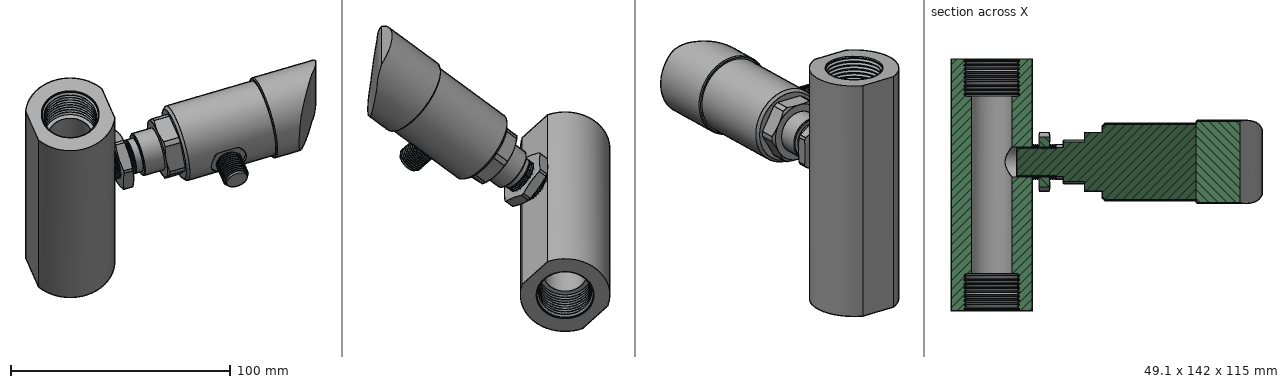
import cadquery as cq
import math


overall_width = 49.1
overall_length = 142.0

pipe_length = 115.0
pipe_diameter = 40.9
pipe_across_flats = 37.0
pipe_bore = 20.0
port_major = 26.4
port_minor = 24.1
port_pitch = 1.8
port_depth = 17.0
port_chamfer = (port_major - port_minor) / 2

sensor_height = 10.5
tip_station = 11.4
thread_end_station = 29.4
collar_station = 32.5
hex_station = 42.3
housing_station = 50.4
cap_station = 93.3
top_station = overall_length - pipe_across_flats / 2

stem_major = 15.9
stem_minor = 14.8
fine_pitch = 1.0
collar_diameter = 20.0
collar_chamfer = 0.4
housing_diameter = 35.5
housing_chamfer = 1.3
hex_across_flats = 27.0
hex_corner_diameter = 29.8
hex_bevel = 0.7

nut_station = 21.5
nut_thickness = 5.1
nut_across_flats = 24.0
nut_corner_diameter = 27.0
nut_bevel = 0.4

crest_start = 0.4
crest_end = 0.6

cap_diameter = 38.0
cap_rim_diameter = 37.0
crest_x = -11.9
slope_start_x = -3.1
slope_start_drop = 5.1
crest_arc_x = -7.2
crest_arc_drop = 2.1
slope_end_x = 13.6
slope_end_drop = 16.3
cap_edge_drop = 19.3

plug_station = 70.6
plug_seat_x = 16.3
plug_seat_diameter = 17.0
plug_major = 12.0
plug_minor = 11.0
plug_end_diameter = 10.1
plug_relief = 0.7
plug_thread_end_x = 27.5
plug_tip_x = overall_width - pipe_diameter / 2


def thread_outline(start, end, major, minor, pitch):
    """Radius-height points of ring-shaped thread teeth between two heights."""
    count = math.floor((end - start) / pitch)
    step = (end - start) / count
    points = []
    for i in range(count):
        root = start + i * step
        points.append((minor / 2, root))
        points.append((major / 2, root + crest_start * step))
        points.append((major / 2, root + crest_end * step))
    points.append((minor / 2, end))
    return points


def turned(outline):
    """Solid of revolution about Z; the outline is closed along the axis."""
    bottom = outline[0][1]
    top = outline[-1][1]
    points = [(0, bottom)] + outline + [(0, top)]
    return cq.Workplane("XZ").polyline(points).close().revolve(360, (0, 0), (0, 1))


def hexagon(across_flats, thickness, first_corner):
    """Hexagonal prism standing on Z = 0, its first corner at the given angle."""
    corner_diameter = across_flats / math.cos(math.pi / 6)
    return (
        cq.Workplane("XY")
        .polygon(6, corner_diameter)
        .extrude(thickness)
        .rotate((0, 0, 0), (0, 0, 1), first_corner)
    )


def along_sensor(shape):
    """Lay a shape built about Z onto the sensor axis, its height becoming Y."""
    return shape.rotate((0, 0, 0), (1, 0, 0), -90).translate((0, 0, sensor_height))


def along_plug(shape):
    """Lay a shape built about Z onto the connector axis, its height becoming X."""
    return shape.rotate((0, 0, 0), (0, 1, 0), 90).translate((0, plug_station, sensor_height))


def make_pipe():
    body = cq.Workplane("XY").circle(pipe_diameter / 2).extrude(pipe_length / 2, both=True)
    flats = cq.Workplane("XY").box(pipe_diameter, pipe_across_flats, pipe_length)
    body = body.intersect(flats)
    body = body.cut(cq.Workplane("XY").circle(pipe_bore / 2).extrude(pipe_length / 2, both=True))

    for end in (-1, 1):
        outer = end * pipe_length / 2
        inner = outer - end * port_depth
        low, high = sorted((outer, inner))
        body = body.cut(turned(thread_outline(low, high, port_major, port_minor, port_pitch)))
        mouth = turned([(port_major / 2, 0), (port_minor / 2, port_chamfer)])
        if end > 0:
            mouth = mouth.rotate((0, 0, 0), (1, 0, 0), 180)
        body = body.cut(mouth.translate((0, 0, outer)))

    stem_hole = cq.Workplane("XY").circle(stem_major / 2).extrude(pipe_across_flats)
    return body.cut(along_sensor(stem_hole))


def make_nut():
    half_flat = nut_across_flats / 2
    half_corner = nut_corner_diameter / 2
    blank = hexagon(nut_across_flats, nut_thickness, 90)
    bevels = turned([
        (half_flat, 0),
        (half_corner, nut_bevel),
        (half_corner, nut_thickness - nut_bevel),
        (half_flat, nut_thickness),
    ])
    hole = cq.Workplane("XY").circle(stem_major / 2).extrude(nut_thickness)
    nut = blank.intersect(bevels).cut(hole)
    return along_sensor(nut.translate((0, 0, nut_station)))


def make_sensor_body():
    stem = thread_outline(tip_station, thread_end_station, stem_major, stem_minor, fine_pitch)
    body = turned(stem + [
        (stem_major / 2, thread_end_station),
        (stem_major / 2, collar_station),
        (collar_diameter / 2 - collar_chamfer, collar_station),
        (collar_diameter / 2, collar_station + collar_chamfer),
        (collar_diameter / 2, housing_station),
        (housing_diameter / 2 - housing_chamfer, housing_station),
        (housing_diameter / 2, housing_station + housing_chamfer),
        (housing_diameter / 2, cap_station),
    ])

    hex_length = housing_station - hex_station
    bevel = turned([
        (hex_across_flats / 2, 0),
        (hex_corner_diameter / 2, hex_bevel),
        (hex_corner_diameter / 2, hex_length),
    ])
    wrench_hex = hexagon(hex_across_flats, hex_length, 0).intersect(bevel)
    body = along_sensor(body.union(wrench_hex.translate((0, 0, hex_station))))

    seat = cq.Workplane("XY").workplane(offset=plug_seat_x).circle(plug_seat_diameter / 2)
    return body.cut(along_plug(seat.extrude(housing_diameter)))


def make_cap():
    radius = cap_diameter / 2
    rim_radius = cap_rim_diameter / 2
    blank = turned([
        (rim_radius, cap_station),
        (radius, cap_station + radius - rim_radius),
        (radius, top_station),
    ])

    side_shape = (
        cq.Workplane("XY")
        .workplane(offset=-radius)
        .moveTo(-radius, cap_station)
        .lineTo(-radius, top_station)
        .lineTo(crest_x, top_station)
        .threePointArc(
            (crest_arc_x, top_station - crest_arc_drop),
            (slope_start_x, top_station - slope_start_drop),
        )
        .lineTo(slope_end_x, top_station - slope_end_drop)
        .lineTo(radius, top_station - cap_edge_drop)
        .lineTo(radius, cap_station)
        .close()
        .extrude(cap_diameter)
        .translate((0, 0, sensor_height))
    )
    return along_sensor(blank).intersect(side_shape)


def make_connector():
    thread_start_x = plug_seat_x + plug_relief
    end_radius = plug_end_diameter / 2
    relief = [(end_radius, plug_seat_x), (end_radius, thread_start_x)]
    thread = thread_outline(thread_start_x, plug_thread_end_x, plug_major, plug_minor, fine_pitch)
    tip = [(end_radius, plug_thread_end_x), (end_radius, plug_tip_x)]
    return along_plug(turned(relief + thread + tip))


pipe = make_pipe()
nut = make_nut()
sensor_body = make_sensor_body()
cap = make_cap()
connector = make_connector()

result = cq.Compound.makeCompound([
    pipe.val(),
    nut.val(),
    sensor_body.val(),
    cap.val(),
    connector.val(),
])